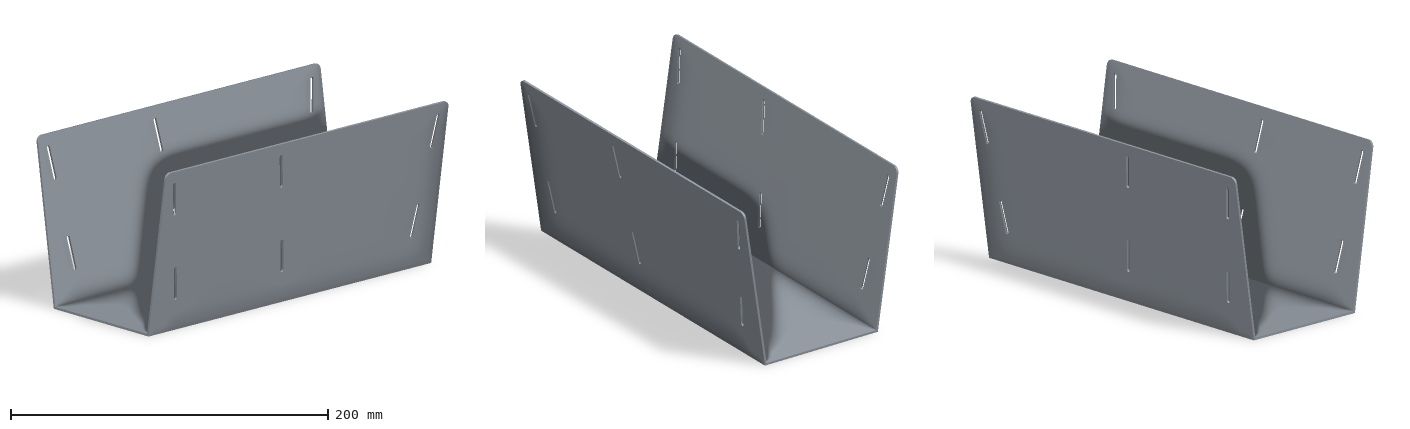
import cadquery as cq
import math

length = 245.0
overall_width = 120.0
overall_height = 110.22
thickness = 1.5
wall_flare = 8.5
corner_radius = 4.0

slot_length = 23.0
slot_width = 2.5
slot_lean = 8.5
upper_slot_height = 92.1
slot_pair_spacing = 60.4
slot_pairs = [(112.7, 1), (-20.3, -1), (-112.7, -1)]

flare_sin = math.sin(math.radians(wall_flare))
flare_cos = math.cos(math.radians(wall_flare))
wall_length = (overall_height - thickness * flare_sin) / flare_cos
outer_top_x = overall_width / 2
outer_top_z = wall_length * flare_cos
outer_bottom_x = outer_top_x - wall_length * flare_sin
inner_top_x = outer_top_x - thickness * flare_cos
inner_bottom_x = inner_top_x - (overall_height - thickness) * flare_sin / flare_cos

wall_plane = cq.Plane(
    origin=(outer_bottom_x, 0, 0),
    xDir=(0, 1, 0),
    normal=(flare_cos, 0, -flare_sin),
)
cutter_depth = 4 * thickness


def make_trough():
    """Floor and two flared walls with square-cut top edges."""
    right_side = [
        (outer_bottom_x, 0),
        (outer_top_x, outer_top_z),
        (inner_top_x, overall_height),
        (inner_bottom_x, thickness),
    ]
    left_side = [(-x, z) for x, z in reversed(right_side)]
    profile = cq.Workplane("XZ").polyline(right_side + left_side).close()
    return profile.extrude(length / 2, both=True)


def make_slot_cutters():
    """Slot cutters through the +X wall, square to its faces."""
    lean = math.radians(slot_lean)
    cutters = cq.Workplane(wall_plane)
    for upper_y, direction in slot_pairs:
        for step_down in (0, slot_pair_spacing):
            slot = (
                cq.Workplane(wall_plane)
                .center(
                    upper_y - direction * step_down * math.sin(lean),
                    upper_slot_height - step_down * math.cos(lean),
                )
                .slot2D(slot_length, slot_width, 90 - direction * slot_lean)
                .extrude(cutter_depth / 2, both=True)
            )
            cutters = cutters.add(slot)
    return cutters.combine()


def make_corner_cutters():
    """Waste outside the rounded top corners of the +X wall."""
    cutters = cq.Workplane(wall_plane)
    for end in (1, -1):
        edge_y = end * length / 2
        arc_y = edge_y - end * corner_radius
        arc_height = wall_length - corner_radius
        arc_middle = corner_radius * math.sqrt(0.5)
        corner = (
            cq.Workplane(wall_plane)
            .moveTo(edge_y, arc_height)
            .threePointArc((arc_y + end * arc_middle, arc_height + arc_middle), (arc_y, wall_length))
            .lineTo(edge_y, wall_length)
            .close()
            .extrude(cutter_depth / 2, both=True)
        )
        cutters = cutters.add(corner)
    return cutters.combine()


result = make_trough()
for wall_cutters in (make_slot_cutters(), make_corner_cutters()):
    result = result.cut(wall_cutters).cut(wall_cutters.mirror("YZ"))